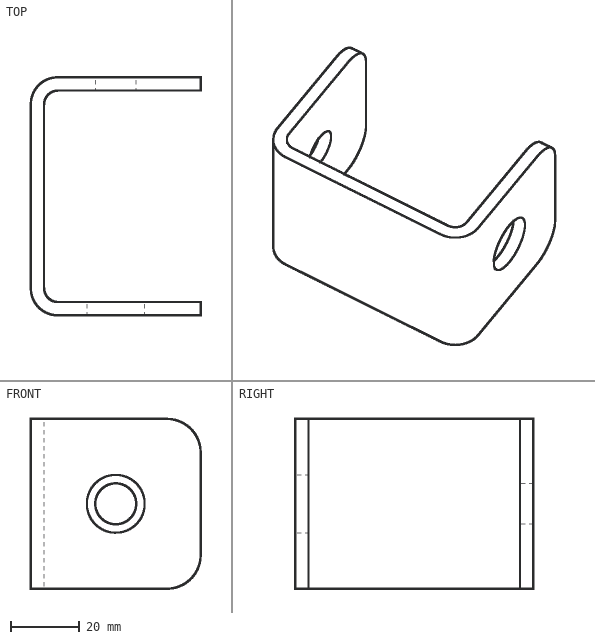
import cadquery as cq

width = 70.0
depth = 50.0
height = 50.0

thickness = 4.0
bend_outer_radius = 2 * thickness
bend_inner_radius = bend_outer_radius - thickness
flange_corner_radius = 10.0
front_hole_diameter = 17.0
back_hole_diameter = 12.0


def make_channel():
    """Bent sheet: a web on the -X side with a flange at each Y end."""
    outer = cq.Workplane("XY").box(depth, width, height)
    outer = outer.edges("|Z and <X").fillet(bend_outer_radius)
    inner = (
        cq.Workplane("XY")
        .box(depth, width - 2 * thickness, height)
        .edges("|Z and <X")
        .fillet(bend_inner_radius)
        .translate((thickness, 0, 0))
    )
    return outer.cut(inner)


def round_flange_corners(body):
    """Round the free corners of both flanges."""
    return body.edges("|Y and >X").fillet(flange_corner_radius)


def flange_hole(diameter, side):
    """Cutter for a hole centred in the flange at the given Y side (-1 or +1)."""
    cutter_length = 2 * thickness
    flange_center_y = side * (width - thickness) / 2
    return (
        cq.Workplane("XZ")
        .circle(diameter / 2)
        .extrude(cutter_length)
        .translate((0, flange_center_y + cutter_length / 2, 0))
    )


bracket = round_flange_corners(make_channel())
bracket = bracket.cut(flange_hole(front_hole_diameter, -1))
result = bracket.cut(flange_hole(back_hole_diameter, 1))